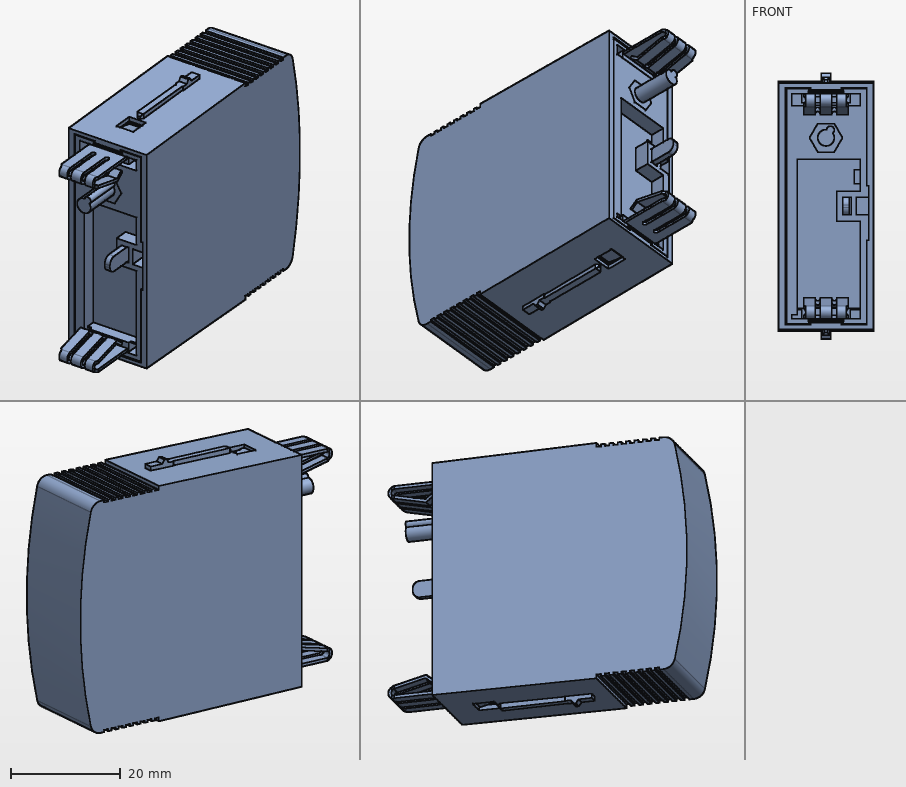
import cadquery as cq
import math


WIDTH = 17.3
REAR_HALF_HEIGHT = 22.4
SHOULDER_Y = 31.55
SHOULDER_HALF_HEIGHT = 22.74
CROWN_Y = 48.92
CROWN_SIDE_Y = 46.2
CROWN_ROUND = 2.2

GROOVE_COUNT = 8
GROOVE_PITCH = 1.6
GROOVE_WIDTH = 0.86
GROOVE_DEPTH = 0.42

LATCH_HEIGHT = 23.5
LATCH_START_Y = 28.05
LATCH_STEP_Y = 22.9
LATCH_END_Y = 10.0
LATCH_WIDE = 1.74
LATCH_NARROW = 1.38
LATCH_TIP_LENGTH = 0.5
LATCH_TIP_CHAMFER = 0.4
BUMP_Y = 24.75
BUMP_HALF_BASE = 0.75
BUMP_HALF_TOP = 0.25
BUMP_HEIGHT = 48.45 / 2

CAVITY_HALF_WIDTH = 7.39
CAVITY_HALF_HEIGHT = 21.6
CAVITY_DEPTH = 10.8
CAVITY_TAB_X = 7.76
TAB_TOP = 3.75
TAB_BOTTOM = -6.2

LIP_HALF_WIDTH = 2.85
LIP_Z = 20.95
LIP_DEPTH = 1.5
LIP_CHAMFER = 0.25

WINDOW_HALF_WIDTH = 1.86
WINDOW_FRONT_Y = 5.5
WINDOW_BACK_Y = 9.57

FIT_GAP = 0.2
INSERT_FACE_Y = 0.1
LUG_CLEARANCE = 0.25
LUG_TOP_Z = 22.0
LUG_LOW_Z = 21.2
LUG_BASE_Z = 20.6

POCKET_LEFT = -5.2
POCKET_RIGHT = 6.27
POCKET_TOP = 8.5
POCKET_BOTTOM = -18.6
POCKET_DEPTH = 2.85
BLOCK_LEFT = 1.95
BLOCK_HALF_HEIGHT = 2.71
FLOOR_HOLE_WIDTH = 1.1
FLOOR_HOLE_BOTTOM = 4.05
FLOOR_HOLE_TOP = 6.64
FLOOR_HOLE_DEPTH = 2.0
SIDE_OPENING_LEFT = 5.5
SIDE_OPENING_HALF_HEIGHT = 1.6
SIDE_OPENING_DEPTH = 5.0

RECESS_HALF_WIDTH = 6.27
RECESS_OUTER_Z = 20.5
RECESS_INNER_Z = 18.3
CORNER_NOTCH_Z = 19.75
CARRIER_HALF_WIDTH = 4.4
CARRIER_INNER_Z = 18.8
CARRIER_SETBACK = 0.4
LEDGE_SETBACK = 1.1
LEDGE_THICKNESS = 0.3

CLIP_HALF_WIDTH = 4.08
CLIP_THICKNESS = 0.6
CLIP_OUTER_Z = 20.5
CLIP_ROOT_Y = 5.0
CLIP_BEND_Y = -8.9
CLIP_BEND_RADIUS = 1.2
CLIP_SLOPE = math.radians(13)
CLIP_SLOPE_LENGTH = 6.5
CLIP_HOOK_SLOPE = math.radians(39)
CLIP_HOOK_LENGTH = 1.9
CLIP_SLOT_X = 1.52
CLIP_SLOT_WIDTH = 0.86
CLIP_SLOT_ROOT_Y = -1.95
CLIP_CORNER_LENGTH = 1.3
CLIP_CORNER_WIDTH = 0.35

PIN_Z = 12.45
PIN_RADIUS = 1.5
PIN_TIP_Y = -7.52
PIN_NOSE_RADIUS = 0.7
PIN_NOSE_OFFSET = 1.63
PIN_NOSE_ANGLE = math.radians(60)
BUSHING_ACROSS_CORNERS = 6.0
BUSHING_LENGTH = 5.0

BLADE_LEFT = 3.05
BLADE_RIGHT = 4.2
BLADE_SLOT_RIGHT = 4.6
BLADE_HALF_HEIGHT = 1.58
BLADE_TIP_Y = -5.25
BLADE_ROOT_Y = 6.0
BLADE_TIP_ROUND = 1.35


def box(x0, x1, y0, y1, z0, z1):
    """Block between two opposite corners."""
    return cq.Workplane("XY").box(x1 - x0, y1 - y0, z1 - z0, centered=False).translate((x0, y0, z0))


def side_profile(x_center, width):
    """Workplane whose local axes are Y and Z, ready for a symmetric extrusion of `width` in X."""
    return cq.Workplane("YZ", origin=(x_center - width / 2, 0, 0))


def mirrored(shape):
    """The same shape on the other side of Z = 0."""
    return shape.mirror("XY")


def both_sides(shape):
    """The shape together with its copy on the other side of Z = 0."""
    return shape.union(mirrored(shape))


def housing_body():
    outline = (
        side_profile(0, WIDTH)
        .moveTo(0, -REAR_HALF_HEIGHT)
        .lineTo(SHOULDER_Y, -SHOULDER_HALF_HEIGHT)
        .lineTo(SHOULDER_Y, -REAR_HALF_HEIGHT)
        .lineTo(CROWN_SIDE_Y, -REAR_HALF_HEIGHT)
        .threePointArc((CROWN_Y, 0), (CROWN_SIDE_Y, REAR_HALF_HEIGHT))
        .lineTo(SHOULDER_Y, REAR_HALF_HEIGHT)
        .lineTo(SHOULDER_Y, SHOULDER_HALF_HEIGHT)
        .lineTo(0, REAR_HALF_HEIGHT)
        .close()
    )
    crown_corners = cq.selectors.BoxSelector(
        (-WIDTH, SHOULDER_Y + GROOVE_WIDTH, -SHOULDER_HALF_HEIGHT), (WIDTH, CROWN_Y, SHOULDER_HALF_HEIGHT)
    )
    return outline.extrude(WIDTH).edges("|X").edges(crown_corners).fillet(CROWN_ROUND)


def grip_grooves():
    groove = box(
        -WIDTH / 2, WIDTH / 2, SHOULDER_Y, SHOULDER_Y + GROOVE_WIDTH,
        REAR_HALF_HEIGHT - GROOVE_DEPTH, SHOULDER_HALF_HEIGHT,
    )
    grooves = groove
    for i in range(1, GROOVE_COUNT):
        grooves = grooves.union(groove.translate((0, i * GROOVE_PITCH, 0)))
    return both_sides(grooves)


def latch():
    """Raised guide bar with a detent bump and a tapered rear tip."""
    wide = box(
        -LATCH_WIDE / 2, LATCH_WIDE / 2, LATCH_STEP_Y, LATCH_START_Y, REAR_HALF_HEIGHT, LATCH_HEIGHT
    )
    narrow = box(
        -LATCH_NARROW / 2, LATCH_NARROW / 2, LATCH_END_Y, LATCH_STEP_Y, REAR_HALF_HEIGHT, LATCH_HEIGHT
    )
    tip_edges = narrow.faces("<Y").edges("|Z or >Z")
    narrow = narrow.newObject(tip_edges.vals()).chamfer(LATCH_TIP_LENGTH, LATCH_TIP_CHAMFER)
    bump = (
        side_profile(0, LATCH_WIDE)
        .polyline([
            (BUMP_Y - BUMP_HALF_BASE, LATCH_HEIGHT),
            (BUMP_Y - BUMP_HALF_TOP, BUMP_HEIGHT),
            (BUMP_Y + BUMP_HALF_TOP, BUMP_HEIGHT),
            (BUMP_Y + BUMP_HALF_BASE, LATCH_HEIGHT),
        ])
        .close()
        .extrude(LATCH_WIDE)
    )
    return wide.union(narrow).union(bump)


def insert_cavity():
    main = box(
        -CAVITY_HALF_WIDTH, CAVITY_HALF_WIDTH, 0, CAVITY_DEPTH, -CAVITY_HALF_HEIGHT, CAVITY_HALF_HEIGHT
    )
    tab = box(CAVITY_HALF_WIDTH, CAVITY_TAB_X, 0, CAVITY_DEPTH, TAB_BOTTOM, TAB_TOP)
    return main.union(tab)


def rim_lip():
    """Short lip hanging from the middle of the rim, with its front inner edge bevelled."""
    lip = box(-LIP_HALF_WIDTH, LIP_HALF_WIDTH, 0, LIP_DEPTH, LIP_Z, CAVITY_HALF_HEIGHT)
    return lip.edges("<Y and <Z").chamfer(LIP_CHAMFER)


def snap_window():
    return box(
        -WINDOW_HALF_WIDTH, WINDOW_HALF_WIDTH, WINDOW_FRONT_Y, WINDOW_BACK_Y,
        CAVITY_HALF_HEIGHT, SHOULDER_HALF_HEIGHT,
    )


def make_housing():
    housing = housing_body().cut(grip_grooves()).union(both_sides(latch()))
    return housing.cut(insert_cavity()).union(both_sides(rim_lip())).cut(both_sides(snap_window()))


def strip(start_y, start_z, angle, start_length, end_length):
    """Flat strip of clip metal in the YZ plane, reaching both ways from a point along a direction."""
    piece = box(
        -CLIP_HALF_WIDTH, CLIP_HALF_WIDTH, -start_length, end_length, -CLIP_THICKNESS / 2, CLIP_THICKNESS / 2
    )
    return piece.rotate((0, 0, 0), (1, 0, 0), math.degrees(angle)).translate((0, start_y, start_z))


def clip_slot():
    """Slot cut straight down through flat, bend and tongue; its round end leaves the hook in one piece."""
    front_y = CLIP_BEND_Y - CLIP_BEND_RADIUS
    end_y = CLIP_SLOT_ROOT_Y - CLIP_SLOT_WIDTH / 2
    half_width = CLIP_SLOT_WIDTH / 2
    return (
        cq.Workplane("XY")
        .moveTo(-half_width, front_y)
        .lineTo(half_width, front_y)
        .lineTo(half_width, end_y)
        .threePointArc((0, CLIP_SLOT_ROOT_Y), (-half_width, end_y))
        .close()
        .extrude(CLIP_OUTER_Z)
    )


def bend_corner(side):
    """Wedge that narrows the outer prong around the bend, on side -1 or +1 of the clip."""
    bend_tip_y = CLIP_BEND_Y - CLIP_BEND_RADIUS
    edge = side * CLIP_HALF_WIDTH
    return (
        cq.Workplane("XY", origin=(0, 0, CLIP_OUTER_Z - 2 * CLIP_BEND_RADIUS))
        .polyline([
            (edge, bend_tip_y + CLIP_CORNER_LENGTH),
            (edge - side * CLIP_CORNER_WIDTH, bend_tip_y + CLIP_CORNER_LENGTH / 2),
            (edge - side * CLIP_CORNER_WIDTH, bend_tip_y),
            (edge, bend_tip_y),
        ])
        .close()
        .extrude(2 * CLIP_BEND_RADIUS)
    )


def clip_root():
    """Flat part of the clip, from the bend into the insert."""
    return box(
        -CLIP_HALF_WIDTH, CLIP_HALF_WIDTH, CLIP_BEND_Y, CLIP_ROOT_Y,
        CLIP_OUTER_Z - CLIP_THICKNESS, CLIP_OUTER_Z,
    )


def make_upper_clip():
    bend_z = CLIP_OUTER_Z - CLIP_BEND_RADIUS
    mid_radius = CLIP_BEND_RADIUS - CLIP_THICKNESS / 2
    tongue_y = CLIP_BEND_Y - mid_radius * math.sin(CLIP_SLOPE)
    tongue_z = bend_z - mid_radius * math.cos(CLIP_SLOPE)
    hook_y = tongue_y + CLIP_SLOPE_LENGTH * math.cos(CLIP_SLOPE)
    hook_z = tongue_z - CLIP_SLOPE_LENGTH * math.sin(CLIP_SLOPE)
    mitre = CLIP_THICKNESS / 2 * math.tan((CLIP_SLOPE + CLIP_HOOK_SLOPE) / 2)

    ring = (
        cq.Workplane("YZ", origin=(0, CLIP_BEND_Y, bend_z))
        .circle(CLIP_BEND_RADIUS)
        .circle(CLIP_BEND_RADIUS - CLIP_THICKNESS)
        .extrude(CLIP_HALF_WIDTH, both=True)
    )
    bend = ring.intersect(
        box(
            -CLIP_HALF_WIDTH, CLIP_HALF_WIDTH, CLIP_BEND_Y - CLIP_BEND_RADIUS, CLIP_BEND_Y,
            bend_z - CLIP_BEND_RADIUS, CLIP_OUTER_Z,
        )
    )
    clip = (
        clip_root()
        .union(bend)
        .union(strip(tongue_y, tongue_z, -CLIP_SLOPE, 0, CLIP_SLOPE_LENGTH + mitre))
        .union(strip(hook_y, hook_z, CLIP_HOOK_SLOPE, mitre, CLIP_HOOK_LENGTH))
    )
    for side in (-1, 1):
        clip = clip.cut(clip_slot().translate((side * CLIP_SLOT_X, 0, 0)))
        clip = clip.cut(bend_corner(side))
    return clip


def make_pin():
    length = INSERT_FACE_Y + BUSHING_LENGTH - PIN_TIP_Y
    plane = cq.Workplane("XZ", origin=(0, INSERT_FACE_Y + BUSHING_LENGTH, PIN_Z))
    nose_x = PIN_NOSE_OFFSET * math.cos(PIN_NOSE_ANGLE)
    nose_z = PIN_NOSE_OFFSET * math.sin(PIN_NOSE_ANGLE)
    nose = plane.center(nose_x, nose_z).circle(PIN_NOSE_RADIUS).extrude(length)
    return plane.circle(PIN_RADIUS).extrude(length).union(nose)


def bushing_block():
    return (
        cq.Workplane("XZ", origin=(0, INSERT_FACE_Y + BUSHING_LENGTH, PIN_Z))
        .polygon(6, BUSHING_ACROSS_CORNERS)
        .extrude(BUSHING_LENGTH)
    )


def make_bushing(pin):
    return bushing_block().cut(pin)


def make_blade():
    blade = box(
        BLADE_LEFT, BLADE_RIGHT, BLADE_TIP_Y, BLADE_ROOT_Y, -BLADE_HALF_HEIGHT, BLADE_HALF_HEIGHT
    )
    return blade.faces("<Y").edges("|X").fillet(BLADE_TIP_ROUND)


def insert_body():
    main = box(
        -CAVITY_HALF_WIDTH + FIT_GAP, CAVITY_HALF_WIDTH, INSERT_FACE_Y, CAVITY_DEPTH,
        -CAVITY_HALF_HEIGHT + FIT_GAP, CAVITY_HALF_HEIGHT - FIT_GAP,
    )
    tab = box(CAVITY_HALF_WIDTH, CAVITY_TAB_X, INSERT_FACE_Y, CAVITY_DEPTH, TAB_BOTTOM, TAB_TOP)
    return main.union(tab)


def snap_lug():
    """Wedge that slopes down toward the inside of the module and catches in the housing window."""
    half_width = WINDOW_HALF_WIDTH - LUG_CLEARANCE
    front_y = WINDOW_FRONT_Y + LUG_CLEARANCE
    back_y = WINDOW_BACK_Y - LUG_CLEARANCE
    return (
        side_profile(0, 2 * half_width)
        .polyline([(front_y, LUG_BASE_Z), (front_y, LUG_TOP_Z), (back_y, LUG_LOW_Z), (back_y, LUG_BASE_Z)])
        .close()
        .extrude(2 * half_width)
    )


def lug_well():
    """Clearance in the insert around the snap lug, as wide as the housing window."""
    return box(
        -WINDOW_HALF_WIDTH, WINDOW_HALF_WIDTH, WINDOW_FRONT_Y, WINDOW_BACK_Y, LUG_BASE_Z, CAVITY_HALF_HEIGHT
    )


def face_pocket():
    """Large shallow pocket in the rear face, leaving a block for the blade on its right side."""
    floor_y = INSERT_FACE_Y + POCKET_DEPTH
    pocket = box(POCKET_LEFT, POCKET_RIGHT, INSERT_FACE_Y, floor_y, POCKET_BOTTOM, POCKET_TOP)
    block = box(
        BLOCK_LEFT, POCKET_RIGHT, INSERT_FACE_Y, floor_y, -BLOCK_HALF_HEIGHT, BLOCK_HALF_HEIGHT
    )
    floor_hole = box(
        POCKET_RIGHT - FLOOR_HOLE_WIDTH, POCKET_RIGHT, floor_y, floor_y + FLOOR_HOLE_DEPTH,
        FLOOR_HOLE_BOTTOM, FLOOR_HOLE_TOP,
    )
    return pocket.cut(block).union(floor_hole)


def side_opening():
    return box(
        SIDE_OPENING_LEFT, CAVITY_TAB_X, INSERT_FACE_Y, INSERT_FACE_Y + SIDE_OPENING_DEPTH,
        -SIDE_OPENING_HALF_HEIGHT, SIDE_OPENING_HALF_HEIGHT,
    )


def blade_slot():
    return box(
        BLADE_LEFT, BLADE_SLOT_RIGHT, INSERT_FACE_Y, BLADE_ROOT_Y, -BLADE_HALF_HEIGHT, BLADE_HALF_HEIGHT
    )


def carrier_recess(left, right, inner_z, carrier_inner_z):
    """Recess around a clip carrier whose own face is set back less than the recess floor."""
    floor_y = INSERT_FACE_Y + POCKET_DEPTH
    recess = box(left, right, INSERT_FACE_Y, floor_y, inner_z, RECESS_OUTER_Z)
    carrier = box(
        -CARRIER_HALF_WIDTH, CARRIER_HALF_WIDTH, INSERT_FACE_Y + CARRIER_SETBACK, floor_y,
        carrier_inner_z, RECESS_OUTER_Z,
    )
    return recess.cut(carrier)


def upper_recess():
    return carrier_recess(-RECESS_HALF_WIDTH, RECESS_HALF_WIDTH, RECESS_INNER_Z, CARRIER_INNER_Z)


def lower_recess():
    """Recess that opens into the face pocket, with a ledge between them and a low corner notch."""
    floor_y = INSERT_FACE_Y + POCKET_DEPTH
    main = carrier_recess(POCKET_LEFT, POCKET_RIGHT, -POCKET_BOTTOM, -POCKET_BOTTOM)
    notch = box(-RECESS_HALF_WIDTH, POCKET_LEFT, INSERT_FACE_Y, floor_y, CORNER_NOTCH_Z, RECESS_OUTER_Z)
    ledge = box(
        POCKET_LEFT, POCKET_RIGHT, INSERT_FACE_Y + LEDGE_SETBACK, floor_y,
        -POCKET_BOTTOM, -POCKET_BOTTOM + LEDGE_THICKNESS,
    )
    return mirrored(main.cut(ledge).union(notch))


def lip_notch():
    """Clearance for the rim lip, with slanted ends."""
    top_z = CAVITY_HALF_HEIGHT
    bottom_z = LIP_Z - FIT_GAP
    top_half = LIP_HALF_WIDTH + FIT_GAP
    bottom_half = top_half + FIT_GAP
    return (
        cq.Workplane("XZ", origin=(0, LIP_DEPTH, 0))
        .polyline([(-top_half, top_z), (top_half, top_z), (bottom_half, bottom_z), (-bottom_half, bottom_z)])
        .close()
        .extrude(LIP_DEPTH)
    )


def make_insert():
    insert = insert_body().cut(both_sides(lug_well())).union(both_sides(snap_lug()))
    cuts = [
        face_pocket(),
        side_opening(),
        blade_slot(),
        upper_recess(),
        lower_recess(),
        both_sides(lip_notch()),
        both_sides(clip_root()),
        bushing_block(),
    ]
    for cut in cuts:
        insert = insert.cut(cut)
    return insert


housing = make_housing()
insert = make_insert()
upper_clip = make_upper_clip()
clips = [upper_clip, mirrored(upper_clip)]
pin = make_pin()
bushing = make_bushing(pin)
blade = make_blade()

result = cq.Compound.makeCompound([
    housing.val(),
    insert.val(),
    *[clip.val() for clip in clips],
    pin.val(),
    bushing.val(),
    blade.val(),
])